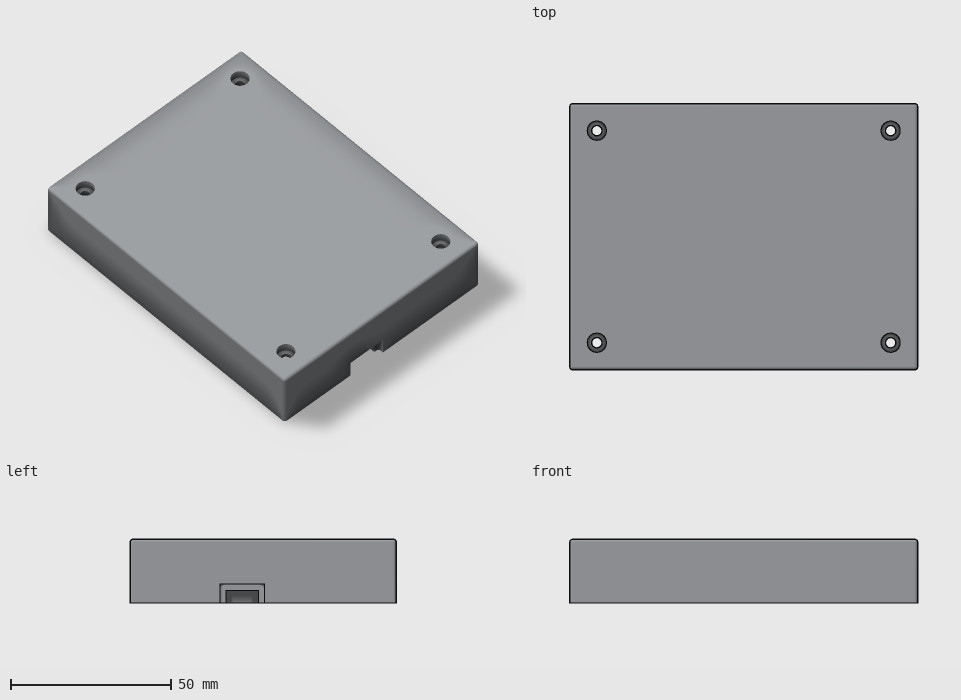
import cadquery as cq

length = 108.7
width = 83.2
height = 20.0
edge_radius = 1.0

wall = 4.3

hole_diameter = 3.2
head_diameter = 6.0
head_depth = 3.0
hole_inset = 8.5

port_center_y = 6.5
recess_width = 13.9
recess_height = 6.0
recess_depth = 2.0
recess_corner_radius = 0.9
opening_width = 10.2
opening_height = 4.0


def rounded_body():
    """Block with rounded upright and top edges and a sharp bottom rim."""
    block = cq.Workplane("XY").box(length, width, height, centered=(True, True, False))
    return block.edges("|Z or >Z").fillet(edge_radius)


def cavity():
    """Interior space, leaving the same thickness at the sides and the top."""
    return cq.Workplane("XY").box(
        length - 2 * wall, width - 2 * wall, height - wall, centered=(True, True, False)
    )


def port_cut(depth, cut_width, cut_height):
    """Rectangular notch reaching inward from the -X face, starting at the bottom rim."""
    return (
        cq.Workplane("XY")
        .box(depth, cut_width, cut_height, centered=(False, True, False))
        .translate((-length / 2, port_center_y, 0))
    )


def cable_port():
    """Wide recess with rounded inner corners, then a smaller opening into the cavity."""
    recess = port_cut(recess_depth, recess_width, recess_height)
    recess = recess.edges("|Z and >X").fillet(recess_corner_radius)
    opening = port_cut(wall, opening_width, opening_height)
    return recess.union(opening)


body = rounded_body().cut(cavity()).cut(cable_port())

result = (
    body.faces(">Z")
    .workplane(origin=(0, 0, height))
    .rect(length - 2 * hole_inset, width - 2 * hole_inset, forConstruction=True)
    .vertices()
    .cboreHole(hole_diameter, head_diameter, head_depth)
)